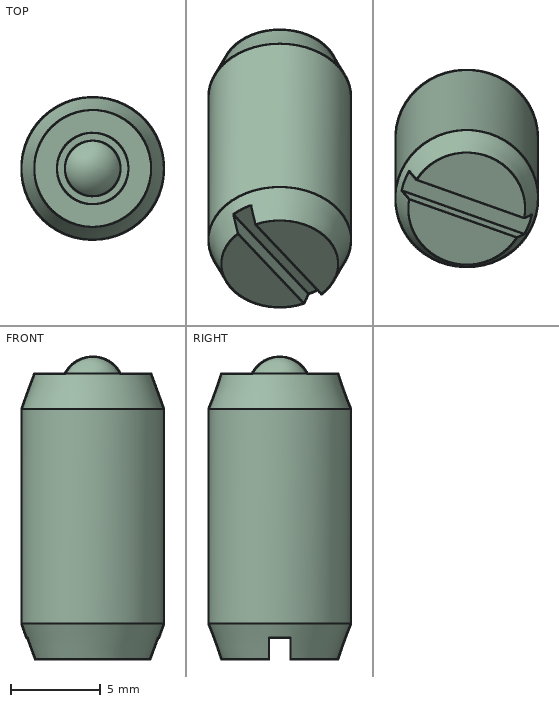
import cadquery as cq
import math


body_radius = 4.0
body_length = 16.0
taper_length = 2.0
taper_angle = math.radians(20)
end_radius = body_radius - taper_length * math.tan(taper_angle)

slot_width = 1.2
slot_depth = 1.2

ball_radius = 1.75
ball_protrusion = 0.95
ball_center_z = body_length + ball_protrusion - ball_radius

bushing_radius = 2.0
bushing_wall = bushing_radius - ball_radius
bushing_floor_z = ball_center_z - ball_radius - bushing_wall
bushing_length = body_length - bushing_floor_z


def make_ball():
    return cq.Workplane("XY").sphere(ball_radius).translate((0, 0, ball_center_z))


def make_bushing_blank():
    """Plain cylinder that fills the recess in the housing."""
    return cq.Workplane("XY").workplane(offset=bushing_floor_z).circle(bushing_radius).extrude(bushing_length)


def make_bushing():
    """Bushing with a spherical seat that wraps the ball past its widest point to keep it in."""
    return make_bushing_blank().cut(make_ball())


def make_housing():
    """Cylinder tapered at both ends, recessed for the bushing and slotted at the bottom."""
    turned_body = (
        cq.Workplane("XZ")
        .moveTo(0, 0)
        .lineTo(end_radius, 0)
        .lineTo(body_radius, taper_length)
        .lineTo(body_radius, body_length - taper_length)
        .lineTo(end_radius, body_length)
        .lineTo(0, body_length)
        .close()
        .revolve(360, (0, 0), (0, 1))
    )
    slot = cq.Workplane("XY").box(2 * body_radius, slot_width, slot_depth, centered=(True, True, False))
    return turned_body.cut(make_bushing_blank()).cut(slot)


housing = make_housing().solids()
bushing = make_bushing().solids()
ball = make_ball()

result = cq.Compound.makeCompound([housing.val(), bushing.val(), ball.val()])